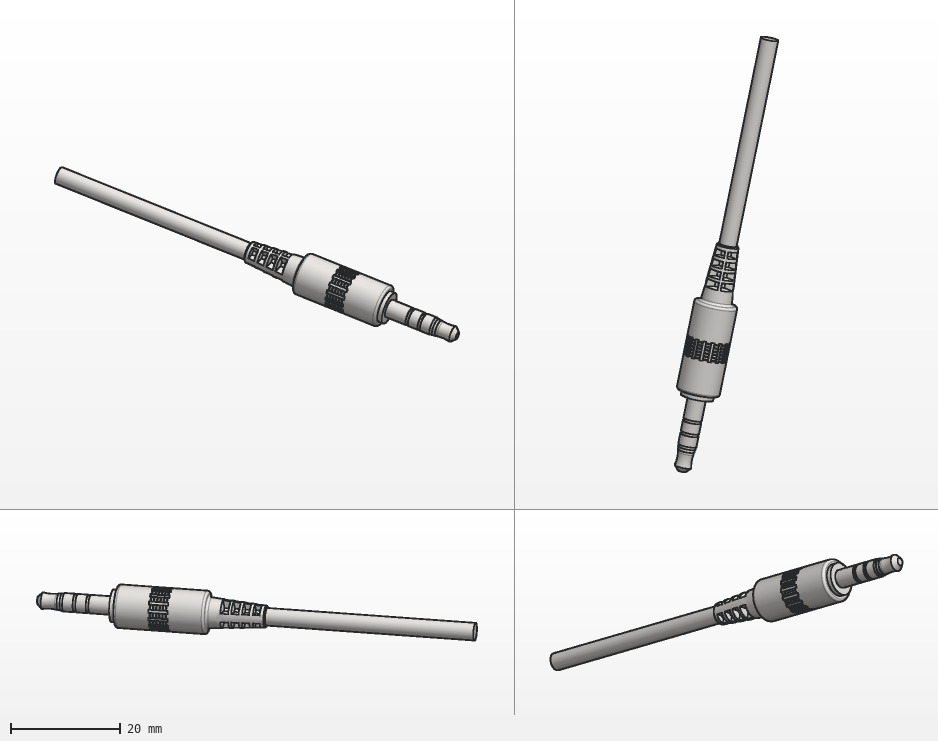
import cadquery as cq
import math

TOTAL_LENGTH = 81.9
BOOT_START = 39.0
HANDLE_START = 49.95
HANDLE_END = 67.0
COLLAR_END = 67.9

CABLE_RADIUS = 1.6

HANDLE_RADIUS = 4.0
HANDLE_EDGE_ROUND = 0.5
COLLAR_RADIUS = 3.0
BOOT_SMALL_RADIUS = 2.05
BOOT_LARGE_RADIUS = 2.9
BOOT_EDGE_CHAMFER = 0.25
FLARE_RADIUS = 0.5

SLOT_COUNT = 4
FIRST_SLOT_CENTER = 40.5
SLOT_PITCH = 2.0
SLOT_MOUTH = 1.55
SLOT_FLOOR = 0.8
SLOT_CORE_RADIUS = 1.2
SIDE_WEB_HALF = 0.8
TOP_WEB_HALF = 0.29

GRIP_START = 56.75
GRIP_LENGTH = 3.6
GRIP_GROOVE_DEPTH = 0.2
GRIP_GROOVE_WIDTH = 0.6
GRIP_GROOVES = 16
GRIP_RINGS = 6
GRIP_RING_DEPTH = 0.1
GRIP_RING_WIDTH = 0.2

CONTACT_RADIUS = 1.7
INSULATOR_RADIUS = 1.55
INSULATOR_WIDTH = 0.5
FIRST_INSULATOR = 72.1
SECOND_INSULATOR = 74.5
CONTACT_END = 77.0
STEP_WIDTH = 0.5
STEP_RADIUS = 1.6
NECK_START = 78.05
TIP_START = 78.5
NECK_RADIUS = 1.5
TIP_WAIST_RADIUS = 1.4
TIP_WAIST = 79.7
HEAD_POSITION = 81.0
HEAD_RADIUS = 1.55
TIP_END_RADIUS = 0.7

CLEARANCE = 0.8

ARC_INSET = 1 - math.sqrt(0.5)


def revolve_about_x(profile):
    """Turn a closed XZ profile once around the X axis."""
    return profile.close().revolve(360, (0, 0, 0), (1, 0, 0))


def tube(start, length, inner_radius, outer_radius):
    """Ring-shaped blank along X."""
    plane = cq.Workplane("YZ", origin=(start, 0, 0))
    return plane.circle(outer_radius).circle(inner_radius).extrude(length)


def make_cable():
    """Round cable ending against the boot."""
    return revolve_about_x(
        cq.Workplane("XZ").lineTo(0, CABLE_RADIUS).lineTo(BOOT_START, CABLE_RADIUS).lineTo(BOOT_START, 0)
    )


def housing_blank():
    """Boot, flare, handle and collar as one turned shape."""
    round_mid = HANDLE_EDGE_ROUND * ARC_INSET
    flare_mid = FLARE_RADIUS * ARC_INSET
    shoulder = HANDLE_RADIUS - HANDLE_EDGE_ROUND
    profile = (
        cq.Workplane("XZ")
        .moveTo(BOOT_START, 0)
        .lineTo(BOOT_START, BOOT_SMALL_RADIUS - BOOT_EDGE_CHAMFER)
        .lineTo(BOOT_START + BOOT_EDGE_CHAMFER, BOOT_SMALL_RADIUS)
        .lineTo(HANDLE_START - FLARE_RADIUS, BOOT_LARGE_RADIUS)
        .threePointArc(
            (HANDLE_START - flare_mid, BOOT_LARGE_RADIUS + flare_mid),
            (HANDLE_START, BOOT_LARGE_RADIUS + FLARE_RADIUS),
        )
        .lineTo(HANDLE_START, shoulder)
        .threePointArc(
            (HANDLE_START + round_mid, HANDLE_RADIUS - round_mid),
            (HANDLE_START + HANDLE_EDGE_ROUND, HANDLE_RADIUS),
        )
        .lineTo(HANDLE_END - HANDLE_EDGE_ROUND, HANDLE_RADIUS)
        .threePointArc((HANDLE_END - round_mid, HANDLE_RADIUS - round_mid), (HANDLE_END, shoulder))
        .lineTo(HANDLE_END, COLLAR_RADIUS)
        .lineTo(COLLAR_END, COLLAR_RADIUS)
        .lineTo(COLLAR_END, 0)
    )
    return revolve_about_x(profile)


def flex_slot(center):
    """Four tapered pockets around the core, parted by webs on the Y and Z sides."""
    depth = BOOT_LARGE_RADIUS - SLOT_CORE_RADIUS
    taper = (SLOT_MOUTH - SLOT_FLOOR) / 2 / depth
    outer_radius = BOOT_LARGE_RADIUS + CLEARANCE
    outer_half = SLOT_FLOOR / 2 + taper * (depth + CLEARANCE)
    ring = revolve_about_x(
        cq.Workplane("XZ")
        .moveTo(center - SLOT_FLOOR / 2, SLOT_CORE_RADIUS)
        .lineTo(center - outer_half, outer_radius)
        .lineTo(center + outer_half, outer_radius)
        .lineTo(center + SLOT_FLOOR / 2, SLOT_CORE_RADIUS)
    )
    web_span = 2 * outer_radius
    webs_along_y = cq.Workplane("XY").box(web_span, web_span, 2 * SIDE_WEB_HALF)
    webs_along_z = cq.Workplane("XY").box(web_span, 2 * TOP_WEB_HALF, web_span)
    webs = webs_along_y.union(webs_along_z).translate((center, 0, 0))
    return ring.cut(webs)


def grip_ring(center):
    """Shallow V-shaped ring across the grip band, GRIP_RING_WIDTH wide at the surface."""
    return revolve_about_x(
        cq.Workplane("XZ")
        .moveTo(center, HANDLE_RADIUS - GRIP_RING_DEPTH)
        .lineTo(center - GRIP_RING_WIDTH, HANDLE_RADIUS + GRIP_RING_DEPTH)
        .lineTo(center + GRIP_RING_WIDTH, HANDLE_RADIUS + GRIP_RING_DEPTH)
    )


def grip_cutter():
    """Lengthwise grooves around the grip band and rings across it."""
    floor_radius = HANDLE_RADIUS - GRIP_GROOVE_DEPTH
    step_angle = 360 / GRIP_GROOVES
    band = tube(GRIP_START, GRIP_LENGTH, floor_radius, HANDLE_RADIUS + CLEARANCE)
    bar = cq.Workplane("XY").box(GRIP_LENGTH, GRIP_GROOVE_WIDTH, 2 * CLEARANCE)
    bar = bar.translate((GRIP_START + GRIP_LENGTH / 2, 0, HANDLE_RADIUS))
    cutter = None
    for index in range(GRIP_GROOVES):
        groove = bar.rotate((0, 0, 0), (1, 0, 0), (index + 0.5) * step_angle).intersect(band)
        cutter = groove if cutter is None else cutter.union(groove)
    ring_pitch = GRIP_LENGTH / GRIP_RINGS
    for index in range(GRIP_RINGS):
        cutter = cutter.union(grip_ring(GRIP_START + (index + 0.5) * ring_pitch))
    return cutter


def make_housing():
    """Housing with its flex slots and grip band cut."""
    housing = housing_blank()
    for index in range(SLOT_COUNT):
        housing = housing.cut(flex_slot(FIRST_SLOT_CENTER + index * SLOT_PITCH))
    return housing.cut(grip_cutter())


def make_plug():
    """Turned plug: sleeve and ring contacts, stepped neck, waisted tip."""
    outline = cq.Workplane("XZ").moveTo(COLLAR_END, 0).lineTo(COLLAR_END, CONTACT_RADIUS)
    for start in (FIRST_INSULATOR, SECOND_INSULATOR):
        outline = (
            outline.lineTo(start, CONTACT_RADIUS)
            .lineTo(start, INSULATOR_RADIUS)
            .lineTo(start + INSULATOR_WIDTH, INSULATOR_RADIUS)
            .lineTo(start + INSULATOR_WIDTH, CONTACT_RADIUS)
        )
    outline = (
        outline.lineTo(CONTACT_END, CONTACT_RADIUS)
        .lineTo(CONTACT_END, STEP_RADIUS)
        .lineTo(CONTACT_END + STEP_WIDTH, STEP_RADIUS)
        .lineTo(CONTACT_END + STEP_WIDTH, INSULATOR_RADIUS)
        .lineTo(NECK_START, INSULATOR_RADIUS)
        .lineTo(NECK_START, NECK_RADIUS)
        .lineTo(TIP_START, NECK_RADIUS)
        .threePointArc((TIP_WAIST, TIP_WAIST_RADIUS), (HEAD_POSITION, HEAD_RADIUS))
        .lineTo(TOTAL_LENGTH, TIP_END_RADIUS)
        .lineTo(TOTAL_LENGTH, 0)
    )
    return revolve_about_x(outline)


cable = make_cable()
housing = make_housing()
plug = make_plug()

result = cq.Compound.makeCompound([cable.val(), housing.val(), plug.val()])